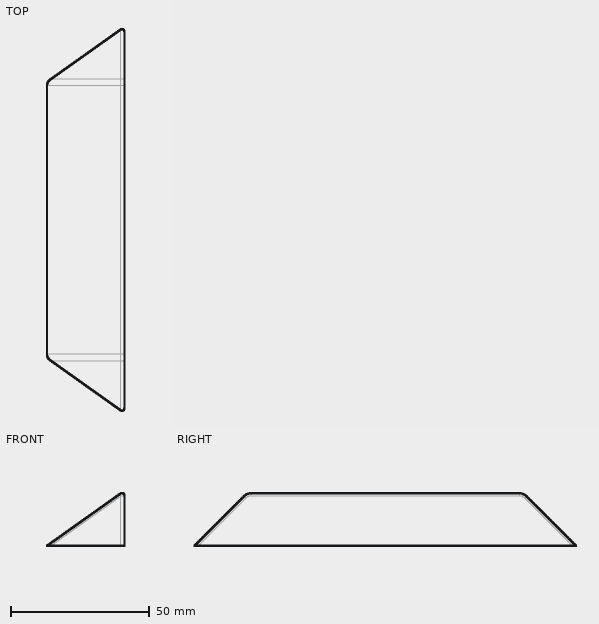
import cadquery as cq
import math

width = 28.2
sharp_height = 20.0
overall_length = 138.2
end_edge_radius = 3.9
wall_edge_radius = 1.0

end_overhang = sharp_height

end_slope = sharp_height / width * math.cos(math.radians(45))
square_loss = wall_edge_radius * (end_slope + math.hypot(1, end_slope) - 1)
tip_loss = square_loss / math.cos(math.radians(45))

half_foot = overall_length / 2 + tip_loss
half_ridge = half_foot - end_overhang
base_tolerance = 0.001


def sharp_bar():
    """Triangular bar whose ends slope outward from the ridge to the base."""
    front_start = cq.Vector(0, -half_ridge, 0)
    front_end = cq.Vector(0, half_ridge, 0)
    foot_start = cq.Vector(width, -half_foot, 0)
    foot_end = cq.Vector(width, half_foot, 0)
    ridge_start = cq.Vector(width, -half_ridge, sharp_height)
    ridge_end = cq.Vector(width, half_ridge, sharp_height)
    outlines = [
        [front_start, front_end, foot_end, foot_start],
        [foot_start, foot_end, ridge_end, ridge_start],
        [front_start, ridge_start, ridge_end, front_end],
        [front_start, foot_start, ridge_start],
        [front_end, ridge_end, foot_end],
    ]
    faces = [cq.Face.makeFromWires(cq.Wire.makePolygon(points, close=True)) for points in outlines]
    return cq.Workplane(obj=cq.Solid.makeSolid(cq.Shell.makeShell(faces)))


def round_end_edges(bar):
    """Round the two inclined edges where the sloping face meets the ends."""
    edges = bar.newObject([])
    for side in (-1, 1):
        middle = (width / 2, side * half_ridge, sharp_height / 2)
        edges = edges.add(bar.edges(cq.selectors.NearestToPointSelector(middle)))
    return edges.fillet(end_edge_radius)


def round_wall_edges(bar):
    """Round the wall outline, leaving the edge on the base sharp."""
    wall_edges = bar.faces(">X").edges()
    raised = wall_edges.filter(lambda edge: edge.BoundingBox().zmax > base_tolerance)
    return raised.fillet(wall_edge_radius)


result = round_wall_edges(round_end_edges(sharp_bar()))